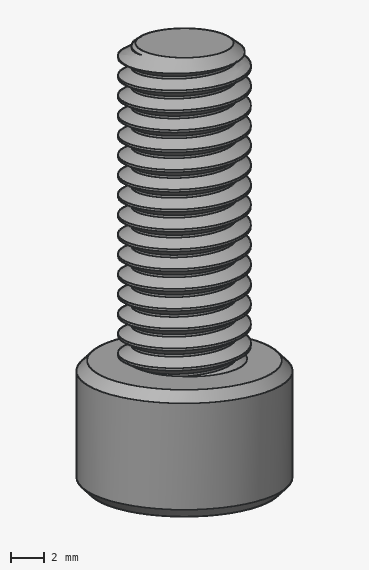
import cadquery as cq
import math

head_diameter = 13.0
head_height = 8.0
head_chamfer = 0.65

thread_diameter = 8.0
thread_pitch = 1.25
shank_length = 20.0
tip_diameter = 5.9
tip_slope_angle = 37.0

thread_angle = 60.0
crest_flat = thread_pitch / 8
root_flat = thread_pitch / 8
groove_mouth = thread_pitch - crest_flat
flank_slope = math.tan(math.radians(thread_angle / 2))
groove_depth = (groove_mouth - root_flat) / (2 * flank_slope)
groove_height_at_x = 0.21

thread_radius = thread_diameter / 2
root_radius = thread_radius - groove_depth
tip_radius = tip_diameter / 2

buried_length = 4 * thread_pitch
trim_margin = 0.5
buried_turns = 1.5
ridge_overlap = 0.05


def make_head():
    """Cylindrical head with equal chamfers on both rims."""
    head = cq.Workplane("XY").circle(head_diameter / 2).extrude(-head_height)
    return head.edges("%CIRCLE").chamfer(head_chamfer)


def make_tip_envelope():
    """Body of revolution bounding the shank: flat end face, tip cone and a clear outer wall."""
    outer_radius = thread_radius + trim_margin
    cone_height = (outer_radius - tip_radius) * math.tan(math.radians(tip_slope_angle))
    return (
        cq.Workplane("XZ")
        .moveTo(0, -buried_length)
        .lineTo(outer_radius, -buried_length)
        .lineTo(outer_radius, shank_length - cone_height)
        .lineTo(tip_radius, shank_length)
        .lineTo(0, shank_length)
        .close()
        .revolve(360, (0, 0, 0), (0, 1, 0))
    )


def make_core():
    """Plain cylinder at the thread root, reaching down into the head."""
    core_length = buried_length + shank_length + trim_margin
    return cq.Workplane("XY").workplane(offset=-buried_length).circle(root_radius).extrude(core_length)


def make_thread_ridge():
    """Right-handed helical ridge with a trapezoid section, starting inside the head on the +X side."""
    first_ridge_height = groove_height_at_x - buried_turns * thread_pitch
    ridge_height = shank_length + trim_margin - first_ridge_height
    helix = cq.Wire.makeHelix(thread_pitch, ridge_height, root_radius, cq.Vector(0, 0, first_ridge_height))
    base_radius = root_radius - ridge_overlap
    half_crest = crest_flat / 2
    half_base = (thread_pitch - root_flat) / 2 + ridge_overlap * flank_slope
    return (
        cq.Workplane("XZ")
        .moveTo(base_radius, first_ridge_height - half_base)
        .lineTo(thread_radius, first_ridge_height - half_crest)
        .lineTo(thread_radius, first_ridge_height + half_crest)
        .lineTo(base_radius, first_ridge_height + half_base)
        .close()
        .sweep(cq.Workplane(helix), isFrenet=True)
    )


tip_envelope = make_tip_envelope()
core = make_core().intersect(tip_envelope)
thread_ridge = make_thread_ridge().intersect(tip_envelope)
result = make_head().union(core.union(thread_ridge))